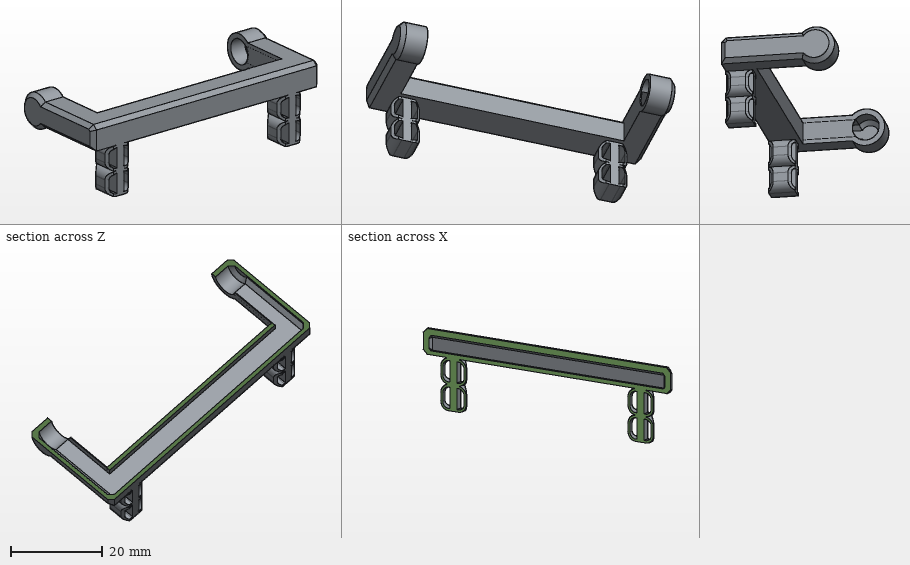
import cadquery as cq
import math

length_x = 25.2
length_y = 63.5
height_z = 19.25

arm_size = 6.0
bar_width = 7.0
chamfer = 1.0
knob_radius = arm_size / math.sqrt(2)
handle_end_x = length_x - knob_radius
handle_bottom_z = -arm_size / 2

wall = 1.0
arm_skin = 0.25
bore_radius = 3.0

foot_spacing = 48.0
foot_depth = 6.0
foot_bottom_z = knob_radius - height_z
loop_width = 6.6
loop_height = (handle_bottom_z - foot_bottom_z) / 2
loop_corner_radius = 2.05
loop_wall = 0.65
loop_bevel = 1.35
plate_thickness = 1.9


def handle_shape(round_radius, arm_height, end_x, end_y, inner_x, inner_y):
    """U-shaped body with chamfered outer edges, open between its arms."""
    arm = (
        cq.Workplane("XY")
        .box(end_x, 2 * end_y, arm_height, centered=(False, True, True))
        .edges(">X and >Z")
        .chamfer(chamfer)
    )
    body = (
        cq.Workplane("XZ")
        .circle(round_radius)
        .extrude(end_y, both=True)
        .union(arm)
        .faces("<Y or >Y")
        .edges()
        .chamfer(chamfer)
    )
    opening_start_x = -2 * round_radius
    opening = cq.Workplane("XY").box(
        inner_x - opening_start_x, 2 * inner_y, 4 * round_radius, centered=(False, True, True)
    )
    return body.cut(opening.translate((opening_start_x, 0, 0)))


def inner_edge_chamfer(inner_x, inner_y):
    """Wedge removed from the top edge of the crossbar that faces the knobs."""
    top_z = arm_size / 2
    return (
        cq.Workplane("XZ")
        .polyline([(inner_x, top_z - chamfer), (inner_x + chamfer, top_z), (inner_x, top_z)])
        .close()
        .extrude(inner_y, both=True)
    )


def hollow_handle():
    inner_x = handle_end_x - bar_width
    inner_y = length_y / 2 - arm_size
    outside = handle_shape(knob_radius, arm_size, handle_end_x, length_y / 2, inner_x, inner_y)
    cavity = handle_shape(
        bore_radius,
        arm_size - 2 * wall,
        handle_end_x - wall,
        length_y / 2 - wall,
        inner_x + wall,
        inner_y + arm_skin,
    )
    bores = cq.Workplane("XZ").circle(bore_radius).extrude(inner_y + 2 * wall, both=True)
    return outside.cut(inner_edge_chamfer(inner_x, inner_y)).cut(cavity).cut(bores)


def loop_block(width, height, corner_radius, center_z):
    return (
        cq.Workplane("XY")
        .box(foot_depth, width, height)
        .edges("|X")
        .fillet(corner_radius)
        .translate((0, 0, center_z))
    )


def foot():
    """Foot centred on X = Y = 0, at its final height."""
    lower_loop_z = foot_bottom_z + loop_height / 2
    loop_centers = [lower_loop_z, lower_loop_z + loop_height]

    loops = cq.Workplane("XY")
    for center_z in loop_centers:
        loops = loops.add(loop_block(loop_width, loop_height, loop_corner_radius, center_z))
    loops = loops.combine()
    for center_z in loop_centers:
        loops = loops.cut(
            loop_block(
                loop_width - 2 * loop_wall,
                loop_height - 2 * loop_wall,
                loop_corner_radius - loop_wall,
                center_z,
            )
        )

    plate = (
        cq.Workplane("XY")
        .box(foot_depth, plate_thickness, 2 * loop_height, centered=(True, True, False))
        .translate((0, 0, foot_bottom_z))
    )
    bevelled_envelope = (
        cq.Workplane("XY").box(foot_depth, loop_width, 2 * height_z).edges("|Z").chamfer(loop_bevel)
    )
    return loops.union(plate).intersect(bevelled_envelope)


result = hollow_handle()
for side in (-1, 1):
    foot_x = handle_end_x - foot_depth / 2
    result = result.union(foot().translate((foot_x, side * foot_spacing / 2, 0)))